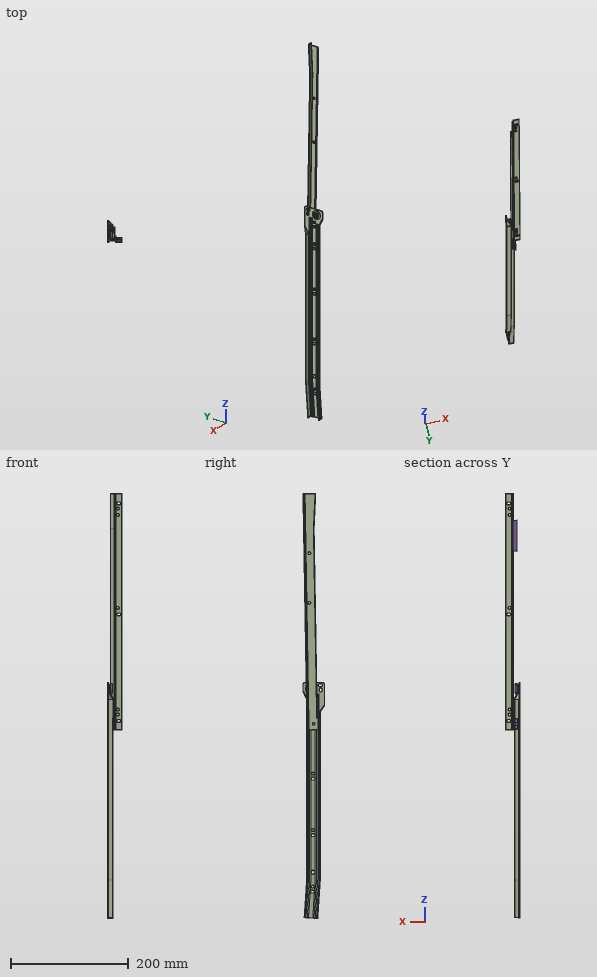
import cadquery as cq

total_length = 721.0
rail_length = 401.0
sheet = 1.2

channel_depth = 9.0
channel_bottom = 6.35
channel_top = 29.5
tail_length = 65.5
tail_drop = 4.0
tail_end_slope = 1.5
plate_height = 37.0
plate_corner_radius = 3.5
upper_corner_start = 361.0
upper_corner_end = 351.0
lower_corner_start = 385.0
lower_corner_end = 372.0

bead_center_gap = 14.0
bead_width = 6.5
bead_crest = 2.0
bead_depth = 1.1
upper_bead_front = 381.5
lower_bead_front = 373.0
web_center = 17.0

screw_hole_diameter = 4.0
screw_slot_length = 6.5
screw_slot_width = 4.0
screw_hole_places = [375.0, 333.0, 246.0, 150.0, 54.0]
screw_slot_offset = 9.0
rear_slot_length = 6.5
rear_slot_width = 5.0
rear_slot_z = 78.5
plate_slot_length = 6.85
plate_slot_width = 4.0
plate_wide_slot = (29.5, 396.0)
plate_tall_slot = (30.0, 388.0)

rail_rear = total_length - rail_length
rail_rise = 6.8
track_height = 18.0
track_left = 4.0
web_left = 11.0
lower_web_left = 13.0
ledge_right = 24.0
jog_height = 2.45
flare_start = 662.0
flare_rise = 3.75
rear_tab_height = 26.0
rear_tab_length = 20.0
web_hole_diameter = 4.0
web_hole_places = [(11.0, 620.0), (11.0, 536.0)]
ledge_hole_diameter = 4.7
ledge_hole_x = 17.0
ledge_hole_places = [696.0, 685.0, 527.0, 355.0, 346.0]
ledge_slot_length = 6.5
ledge_slot_width = 4.0
ledge_slot_x = 19.0
ledge_slot_places = [704.5, 516.0, 335.0]

roller_left = 3.25
roller_width = 5.0
roller_right = roller_left + roller_width
front_axis = (13.0, 390.0)
front_roller_radius = 9.0
rear_axis = (18.0, 330.0)
rear_roller_radius = 9.5
roller_chamfer = 1.5
rivet_radius = 2.0
rivet_head_radius = 3.5
rivet_head_height = 1.0
dish_depth = 1.5
dish_rim_radius = 8.0
dish_floor_radius = 5.0


def slab(outline, left, right):
    """Extrude a closed (Y, Z) outline along X."""
    return cq.Workplane("YZ", origin=(left, 0, 0)).polyline(outline).close().extrude(right - left)


def ribbon(upper_edge, left, right):
    """A strip one sheet thick that hangs below a (Y, Z) path."""
    lower_edge = [(y - sheet, z) for y, z in reversed(upper_edge)]
    return slab(upper_edge + lower_edge, left, right)


def disc(axis, radius, left, right):
    """A round bar along X."""
    return cq.Workplane("YZ", origin=(left, 0, 0)).center(*axis).circle(radius).extrude(right - left)


def cone(axis, left_radius, right_radius, left, right):
    """A tapered round bar along X."""
    solid = cq.Solid.makeCone(
        left_radius, right_radius, right - left, cq.Vector(left, *axis), cq.Vector(1, 0, 0)
    )
    return cq.Workplane(obj=solid)


def slot_through_web(center, length, width, angle):
    """A slot cutter along X, long enough for the cabinet rail web."""
    return cq.Workplane("YZ").center(*center).slot2D(length, width, angle).extrude(sheet)



def tail_shift(z):
    """Vertical shift of the channel where its rear end dips."""
    return -tail_drop * max(0.0, tail_length - z) / tail_length


def channel_edge(height, front):
    """Path of a lengthwise channel edge, from its front to the dipped rear end."""
    return [(height, front), (height, tail_length), (height - tail_drop, 0)]


def channel_bead(center, left, front):
    """A trapezoid bar that follows the channel and its dipped tail."""
    section = cq.Wire.makePolygon(
        [
            cq.Vector(left, center - bead_width / 2, tail_length),
            cq.Vector(left + bead_depth, center - bead_crest / 2, tail_length),
            cq.Vector(left + bead_depth, center + bead_crest / 2, tail_length),
            cq.Vector(left, center + bead_width / 2, tail_length),
        ],
        close=True,
    )
    straight = cq.Solid.extrudeLinear(section, [], cq.Vector(0, 0, front - tail_length))
    tail = cq.Solid.extrudeLinear(section, [], cq.Vector(0, -tail_drop, -tail_length))
    return cq.Workplane(obj=straight).union(cq.Workplane(obj=tail))


def mounting_plate():
    outline = [
        (channel_top, upper_corner_end),
        (plate_height, upper_corner_start),
        (plate_height, rail_length),
        (0, rail_length),
        (0, lower_corner_start),
        (channel_bottom, lower_corner_end),
        (channel_bottom, upper_corner_end),
    ]
    return slab(outline, 0, sheet).edges("|X and >Z").fillet(plate_corner_radius)


def corner_wall(outer, inner, inward):
    """Wall along a sloping plate corner, widening from the plate to the channel flange."""
    reach = inward * sheet
    strip = [outer, inner, (inner[0] + reach, inner[1]), (outer[0] + reach, outer[1])]
    wall = slab(strip, 0, channel_depth)
    profile = [
        (0, outer[0]),
        (sheet, outer[0]),
        (channel_depth, inner[0]),
        (channel_depth, inner[0] + reach),
        (0, inner[0] + reach),
    ]
    taper = cq.Workplane("XY").polyline(profile).close().extrude(rail_length)
    return wall.intersect(taper)


def cabinet_rail_body():
    web = slab(
        channel_edge(channel_top, upper_corner_end)
        + list(reversed(channel_edge(channel_bottom, upper_corner_end))),
        0,
        sheet,
    )
    body = web.union(mounting_plate())
    body = body.union(ribbon(channel_edge(channel_top, upper_corner_end), 0, channel_depth))
    body = body.union(ribbon(channel_edge(channel_bottom + sheet, lower_corner_end), 0, channel_depth))
    body = body.union(
        corner_wall((plate_height, upper_corner_start), (channel_top, upper_corner_end), -1)
    )
    body = body.union(corner_wall((0, lower_corner_start), (channel_bottom, lower_corner_end), 1))
    for side, front in ((-1, lower_bead_front), (1, upper_bead_front)):
        center = web_center + side * bead_center_gap / 2
        body = body.union(channel_bead(center, sheet, front)).cut(channel_bead(center, 0, front))
    return body


def trim_tail_end(body):
    """Cut the rear end square to the dipped tail."""
    bottom = channel_bottom - tail_drop
    wedge = slab([(channel_top - tail_drop, 0), (bottom, 0), (bottom, tail_end_slope)], 0, channel_depth)
    return body.cut(wedge)


def cut_front_dish(body):
    """Press a round dish into the plate and pierce it for the front rivet."""
    boss = cone(front_axis, dish_rim_radius, dish_floor_radius, sheet, sheet + dish_depth)
    dish = cone(front_axis, dish_rim_radius, dish_floor_radius, 0, dish_depth)
    rivet_hole = disc(front_axis, rivet_radius, 0, roller_left)
    return body.union(boss).cut(dish).cut(rivet_hole)


def cut_cabinet_holes(body):
    for z in screw_hole_places:
        slot_z = z - screw_slot_offset
        hole_y = web_center + tail_shift(z)
        slot_y = web_center + tail_shift(slot_z)
        body = body.cut(disc((hole_y, z), screw_hole_diameter / 2, 0, sheet))
        body = body.cut(slot_through_web((slot_y, slot_z), screw_slot_length, screw_slot_width, 0))
    rear_slot = (web_center, rear_slot_z)
    body = body.cut(slot_through_web(rear_slot, rear_slot_length, rear_slot_width, 90))
    body = body.cut(slot_through_web(plate_wide_slot, plate_slot_length, plate_slot_width, 0))
    return body.cut(slot_through_web(plate_tall_slot, plate_slot_length, plate_slot_width, 90))



def tilted(height, z):
    """Height of a lengthwise drawer rail edge at Z, given its height at the front end."""
    return height + rail_rise * (total_length - z) / rail_length


def tilted_edge(height, front, rear):
    return [(tilted(height, front), front), (tilted(height, rear), rear)]


def drawer_rail_body():
    tab_front = rail_rear + rear_tab_length
    flared_end = (track_height + flare_rise, total_length)
    track_path = [flared_end] + tilted_edge(track_height, flare_start, tab_front)
    track = ribbon(track_path, track_left, web_left + sheet)
    tab_top = [(rear_tab_height, tab_front), (rear_tab_height, rail_rear)]
    web_bottom = list(reversed(tilted_edge(jog_height, total_length, rail_rear)))
    web = slab(track_path + tab_top + web_bottom, web_left, web_left + sheet)
    jog = ribbon(
        tilted_edge(jog_height + sheet, total_length, rail_rear), web_left, lower_web_left + sheet
    )
    lower_web_top = tilted_edge(jog_height, total_length, rail_rear)
    lower_web_bottom = list(reversed(tilted_edge(0, total_length, rail_rear)))
    lower_web = slab(lower_web_top + lower_web_bottom, lower_web_left, lower_web_left + sheet)
    ledge = ribbon(tilted_edge(sheet, total_length, rail_rear), lower_web_left, ledge_right)
    return track.union(web).union(jog).union(lower_web).union(ledge)


def cut_drawer_holes(body):
    for center in web_hole_places:
        body = body.cut(disc(center, web_hole_diameter / 2, web_left, web_left + sheet))
    body = body.cut(disc(rear_axis, rivet_radius, web_left, web_left + sheet))
    cutter_height = rail_rise + 2 * sheet
    plan = cq.Workplane("XZ")
    for z in ledge_hole_places:
        hole = plan.center(ledge_hole_x, z).circle(ledge_hole_diameter / 2).extrude(-cutter_height)
        body = body.cut(hole)
    for z in ledge_slot_places:
        slot = plan.center(ledge_slot_x, z).slot2D(ledge_slot_length, ledge_slot_width)
        body = body.cut(slot.extrude(-cutter_height))
    return body



def roller(axis, radius):
    body = disc(axis, radius, roller_left, roller_right).edges().chamfer(roller_chamfer)
    return body.cut(disc(axis, rivet_radius, roller_left, roller_right))


def rivet(axis, head_left, right):
    """A rivet with its head on the -X side."""
    neck = head_left + rivet_head_height
    return disc(axis, rivet_head_radius, head_left, neck).union(disc(axis, rivet_radius, neck, right))


cabinet_rail = cut_cabinet_holes(cut_front_dish(trim_tail_end(cabinet_rail_body())))
drawer_rail = cut_drawer_holes(drawer_rail_body())
rollers = [roller(front_axis, front_roller_radius), roller(rear_axis, rear_roller_radius)]
rivets = [
    rivet(front_axis, dish_depth - rivet_head_height, roller_right),
    rivet(rear_axis, roller_left - rivet_head_height, web_left + sheet),
]

result = cq.Compound.makeCompound(
    [cabinet_rail.val(), drawer_rail.val()]
    + [body.val() for body in rollers]
    + [body.val() for body in rivets]
)